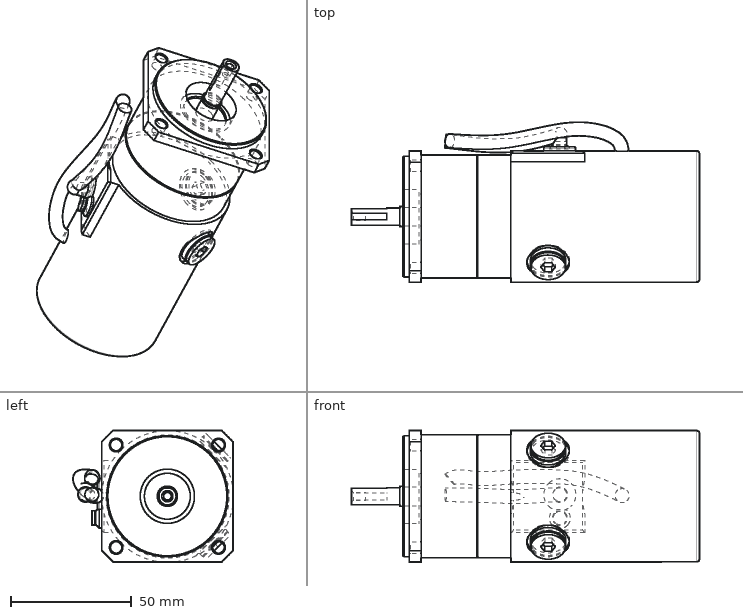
import cadquery as cq
import math

flat_end = 14.7
collar_start = 20.0
pilot_face = 21.3
flange_front = 23.9
flange_back = 28.8
groove_station = 51.8
body_start = 66.0
pad_end = 96.5
total_length = 144.0

shaft_radius = 3.6
flat_depth = 0.3
collar_radius = 4.2
hub_radius = 3.9
center_hole_radius = 1.6
center_hole_depth = 5.8
center_sink_radius = 2.3

flange_side = 54.5
body_radius = flange_side / 2
gearbox_radius = 25.5
pilot_radius = 25.0
pilot_chamfer = 0.5
rear_fillet = 1.3
groove_width = 0.5
groove_depth = 0.3
recess_radius = 11.2
recess_depth = 6.5
seal_radius = 9.5
seal_depth = 1.0

flange_corner = 4.8
bolt_spacing = 42.3
bolt_hole_diameter = 4.8
bolt_sink_diameter = 5.6
bolt_sink_angle = 90

cap_station = 81.4
cap_angles = (45, -45)
spot_radius = 8.8
spot_level = 25.6
washer_radius = 7.3
neck_radius = 7.0
neck_height = 0.5
head_radius = 7.2
washer_top = 27.6
cap_top = 29.7
socket_corners = 5.9
socket_depth = 2.9

pad_half_width = 15.0
pad_chamfer = 1.0
fitting_station = 86.1
gland_z = 0.7
gland_base_radius = 6.6
gland_base_height = 1.7
gland_base_fillet = 0.7
gland_radius = 2.9
gland_elbow_radius = 3.2
gland_elbow_level = 33.8
terminal_z = -9.0
terminal_base_radius = 4.3
terminal_rim_height = 0.9
terminal_base_height = 2.3
terminal_neck_radius = 2.7
terminal_neck_height = 2.7
terminal_radius = 3.0
terminal_height = 4.0

cable_radius = 2.9
motor_cable_path = [
    (38.9, 31.2, gland_z),
    (57.6, 29.4, 0.3),
    (72.0, 30.2, 0.0),
    (85.4, 33.7, gland_z),
]
motor_cable_start = (1, -0.1, 0)
motor_cable_finish = (1, 0.3, 0)
sensor_cable_path = [
    (40.6, 31.4, 7.0),
    (50.4, 30.8, 7.6),
    (64.8, 31.4, 7.9),
    (83.1, 35.0, 8.2),
    (96.5, 36.1, 6.6),
    (109.2, 32.4, 1.7),
    (112.0, 24.5, 0.3),
]
sensor_cable_start = (1, -0.1, 0.9)
sensor_cable_finish = (0, -1, 0)


def x_cylinder(start, end, radius):
    """Cylinder on the motor axis between two stations."""
    return cq.Workplane("YZ").workplane(offset=start).circle(radius).extrude(end - start)


def y_cylinder(z, start, height, radius):
    """Cylinder at the fitting station, rising toward +Y."""
    plane = cq.Plane(origin=(fitting_station, start, z), xDir=(1, 0, 0), normal=(0, 1, 0))
    return cq.Workplane(plane).circle(radius).extrude(height)


def make_housing():
    pilot = x_cylinder(pilot_face, flange_front, pilot_radius).faces("<X").chamfer(pilot_chamfer)
    flange = (
        cq.Workplane("YZ").workplane(offset=flange_front)
        .rect(flange_side, flange_side).extrude(flange_back - flange_front)
        .edges("|X").chamfer(flange_corner)
        .faces("<X").workplane()
        .rect(bolt_spacing, bolt_spacing, forConstruction=True).vertices()
        .cskHole(bolt_hole_diameter, bolt_sink_diameter, bolt_sink_angle)
    )
    gearbox = x_cylinder(flange_back, body_start, gearbox_radius)
    groove = x_cylinder(groove_station, groove_station + groove_width, gearbox_radius).cut(
        x_cylinder(groove_station, groove_station + groove_width, gearbox_radius - groove_depth)
    )
    body = x_cylinder(body_start, total_length, body_radius).faces(">X").edges().fillet(rear_fillet)
    recess_floor = pilot_face + recess_depth
    recess = x_cylinder(pilot_face, recess_floor, recess_radius)
    seal_seat = x_cylinder(recess_floor, recess_floor + seal_depth, seal_radius)
    return pilot.union(flange).union(gearbox).union(body).cut(groove).cut(recess).cut(seal_seat)


def make_shaft():
    shaft = x_cylinder(0, flange_back, shaft_radius)
    shaft = shaft.union(x_cylinder(collar_start, flange_back, hub_radius))
    shaft = shaft.union(x_cylinder(collar_start, pilot_face, collar_radius))
    flat_level = shaft_radius - flat_depth
    flat_cutter = (
        cq.Workplane("XY").workplane(offset=flat_level)
        .rect(2 * flat_end, 2 * shaft_radius).extrude(shaft_radius)
    )
    for turn in (0, -90):
        shaft = shaft.cut(flat_cutter.rotate((0, 0, 0), (1, 0, 0), turn))
    center_hole = cq.Workplane("YZ").circle(center_hole_radius).extrude(center_hole_depth)
    shaft = shaft.cut(center_hole)
    hole_rim = shaft.faces("<X").edges("%CIRCLE").edges(cq.selectors.RadiusNthSelector(0))
    return hole_rim.chamfer(center_sink_radius - center_hole_radius)


def add_brush_cap(motor, angle):
    """Cut a spot face in the body and stand a socket plug on it."""
    tilt = math.radians(angle)
    outward = cq.Vector(0, -math.cos(tilt), math.sin(tilt))

    def disc(level, top, radius):
        origin = cq.Vector(cap_station, 0, 0) + outward * level
        plane = cq.Plane(origin=origin, xDir=(1, 0, 0), normal=outward)
        return cq.Workplane(plane).circle(radius).extrude(top - level)

    head_start = washer_top + neck_height
    motor = motor.cut(disc(spot_level, cap_top, spot_radius))
    motor = motor.union(disc(spot_level, washer_top, washer_radius))
    motor = motor.union(disc(washer_top, head_start, neck_radius))
    motor = motor.union(disc(head_start, cap_top, head_radius))
    socket_plane = cq.Plane(
        origin=cq.Vector(cap_station, 0, 0) + outward * (cap_top - socket_depth),
        xDir=(1, 0, 0),
        normal=outward,
    )
    return motor.cut(cq.Workplane(socket_plane).polygon(6, socket_corners).extrude(socket_depth))


def make_pad():
    return (
        cq.Workplane("XY")
        .box(pad_end - body_start, body_radius, 2 * pad_half_width, centered=(False, False, True))
        .translate((body_start, 0, 0))
        .faces(">Y").edges().chamfer(pad_chamfer)
    )


def make_gland():
    """Round base and post, with a rounded elbow where the motor cable arrives."""
    base = y_cylinder(gland_z, body_radius, gland_base_height, gland_base_radius)
    base = base.faces(">Y").edges().fillet(gland_base_fillet)
    post = y_cylinder(gland_z, body_radius, gland_elbow_level - body_radius, gland_radius)
    elbow_center = (fitting_station, gland_elbow_level, gland_z)
    elbow = cq.Workplane("XY").sphere(gland_elbow_radius).translate(elbow_center)
    return base.union(post).union(elbow)


def make_terminal():
    """Turned terminal: sloped base, narrow neck and wider head."""
    profile = [
        (0, 0),
        (terminal_base_radius, 0),
        (terminal_base_radius, terminal_rim_height),
        (terminal_radius, terminal_base_height),
        (terminal_neck_radius, terminal_base_height),
        (terminal_neck_radius, terminal_neck_height),
        (terminal_radius, terminal_neck_height),
        (terminal_radius, terminal_height),
        (0, terminal_height),
    ]
    turned = cq.Workplane("XY").polyline(profile).close().revolve(360, (0, 0, 0), (0, 1, 0))
    return turned.translate((fitting_station, body_radius, terminal_z))


def make_cable(points, start_direction, end_direction):
    center_line = cq.Workplane("XY").spline(points, tangents=[start_direction, end_direction])
    start_plane = cq.Plane(origin=points[0], normal=start_direction)
    return cq.Workplane(start_plane).circle(cable_radius).sweep(center_line)


result = make_housing().union(make_pad())
for cap_angle in cap_angles:
    result = add_brush_cap(result, cap_angle)
result = result.union(make_shaft()).union(make_gland()).union(make_terminal())
result = result.union(make_cable(motor_cable_path, motor_cable_start, motor_cable_finish))
result = result.union(make_cable(sensor_cable_path, sensor_cable_start, sensor_cable_finish))